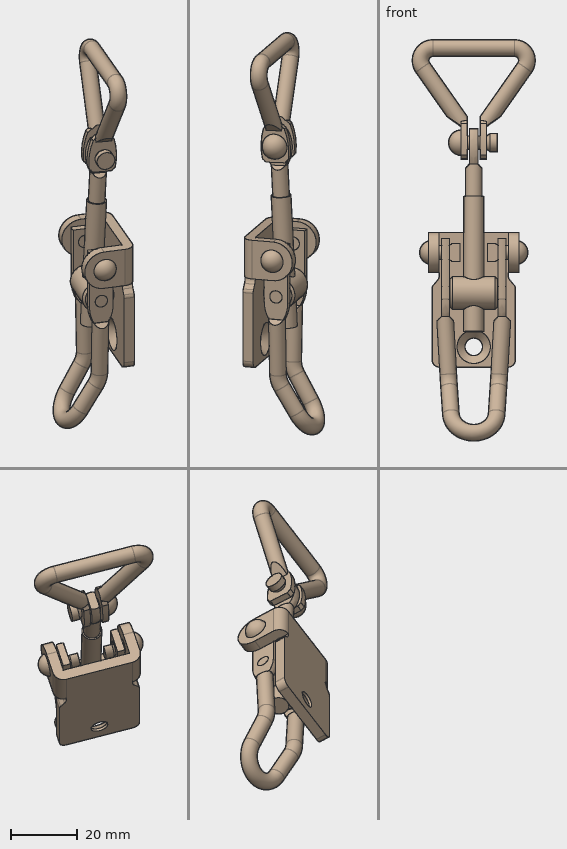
import cadquery as cq
import math


sheet = 3.3
wall_y = 9.5
ear_outer_x = 13.6
ear_radius = 6.0
ear_center_y = -0.4
plate_half_width = 12.5
plate_bottom_z = -34.5
plate_corner_radius = 2.3
neck_bottom_z = -7.7
shoulder_z = -10.2
neck_round_radius = 2.4
shoulder_round_radius = 1.6
screw_z = -28.3
screw_diameter = 5.2
screw_sink_diameter = 10.0

wire_radius = 2.5

arm_inner_x = 7.4
arm_thickness = 2.3
arm_radius = 3.9
arm_top_z = 4.2
arm_taper_z = -14.0
arm_bottom_z = -19.2
bend_start_z = -36.5
bend_radius = 8.2
bend_angle = 30.5
loop_radius = 6.9
loop_bottom_z = -56.6
leg_lean = 3.3

barrel_z = -12.2
barrel_radius = 5.0
barrel_half_length = 7.1
barrel_chamfer = 0.7
trunnion_radius = 1.9

rod_lean = 2.8
rod_bottom = -11.6
rod_step = 29.0
rod_radius = 3.0
stem_radius = 2.5
eye_half_thickness = 1.3
eye_widest_radius = 4.1
eye_top_radius = 2.9
eye_widest = 44.4
eye_neck = 38.7
pin_height = 45.2
eye_top = 49.3
hook_top = 76.2
hook_width = 37.0
hook_corner_radius = 3.7
hook_leg_angle = 35.0
tab_inner_x = 1.9
tab_thickness = 1.9
tab_half_width = 4.3
tab_widest = -0.7
tab_side_radius = 19.3
tab_top = 6.6
tab_bottom = -5.0
tab_corner = 1.1
leg_joint_drop = 1.7

rivet_radius = 2.0
side_dome_radius = 3.5
side_dome_height = 2.7
side_head_radius = 2.7
side_head_end_x = 4.1
side_head_flare = 0.7
hook_dome_radius = 3.9
hook_dome_height = 3.7
hook_head_radius = 2.8
hook_head_length = 3.3
hook_head_flare = 1.1

ear_inner_x = ear_outer_x - sheet
arm_outer_x = arm_inner_x + arm_thickness
arm_center_x = arm_inner_x + arm_thickness / 2
tab_outer_x = tab_inner_x + tab_thickness
hook_bar_half_length = hook_width / 2 - wire_radius - hook_corner_radius


def x_cylinder(radius, x_start, x_end, y, z):
    """Cylinder along X between two X positions."""
    return cq.Workplane("YZ", origin=(x_start, y, z)).circle(radius).extrude(x_end - x_start)


def mirrored(half):
    """A shape joined with its mirror image across X = 0."""
    return half.union(half.mirror("YZ"))


def rivet(dome_x, dome_radius, dome_height, end_x, flare_x, flare, head_radius):
    """Rivet along X at Y = Z = 0: a dome towards -X, a shank and a flared head towards +X."""
    outline = (
        cq.Workplane("XY")
        .moveTo(dome_x - dome_height, 0)
        .threePointArc(dome_arc_middle(dome_x, dome_radius, dome_height), (dome_x, dome_radius))
        .lineTo(dome_x, rivet_radius)
        .lineTo(flare_x, rivet_radius)
        .lineTo(flare_x + flare, head_radius)
        .lineTo(end_x, head_radius)
        .lineTo(end_x, 0)
        .close()
    )
    return outline.revolve(360, (0, 0, 0), (1, 0, 0))


def dome_arc_middle(base_x, radius, height):
    """Point halfway along the arc of a dome that bulges towards -X."""
    sphere = (radius**2 + height**2) / (2 * height)
    half_angle = math.asin(radius / sphere) / 2
    return (base_x - height + sphere * (1 - math.cos(half_angle)), sphere * math.sin(half_angle))


def shoulders(x, radius, half_thickness, z_tip):
    """Two 45 degree wedges that taper a round wire up to a flat of the given half thickness."""
    drop = 2 * radius
    wedge = (
        cq.Workplane("XZ", origin=(x, 0, 0))
        .moveTo(half_thickness, z_tip)
        .lineTo(half_thickness + drop, z_tip - drop)
        .lineTo(half_thickness + drop, z_tip + drop)
        .lineTo(half_thickness, z_tip + drop)
        .close()
        .extrude(2 * radius, both=True)
    )
    return wedge.union(wedge.rotate((x, 0, 0), (x, 0, 1), 180))


def flattened(outline, x, half_thickness):
    """A half outline turned about a vertical axis at X = x and cut to a flat of the given half thickness."""
    turned = outline.close().revolve(360, (0, 0, 0), (0, 1, 0)).translate((x, 0, 0))
    box = turned.val().BoundingBox()
    slab = cq.Workplane("XY").box(2 * half_thickness, box.ylen, box.zlen).translate(box.center)
    return turned.intersect(slab)


def near_height(z):
    """Selector for the short plate edges that lie at one height."""
    margin = 0.1
    return cq.selectors.BoxSelector((-ear_outer_x, 0, z - margin), (ear_outer_x, wall_y, z + margin))


def make_bracket():
    channel_depth = wall_y - ear_center_y
    channel = (
        cq.Workplane("XY", origin=(0, wall_y - channel_depth / 2, 0))
        .rect(2 * ear_outer_x, channel_depth)
        .extrude(ear_radius, both=True)
        .edges("|Z and >Y")
        .fillet(sheet)
    )
    ears = x_cylinder(ear_radius, -ear_outer_x, ear_outer_x, ear_center_y, 0)
    front_y = ear_center_y - ear_radius
    inner_y = wall_y - sheet
    slot = cq.Workplane("XY").box(2 * ear_inner_x, inner_y - front_y, 2 * ear_radius)
    slot = slot.translate((0, (inner_y + front_y) / 2, 0))

    right_side = [
        (ear_inner_x, 0),
        (ear_inner_x, neck_bottom_z),
        (plate_half_width, shoulder_z),
        (plate_half_width, plate_bottom_z),
    ]
    left_side = [(-x, z) for x, z in reversed(right_side)]
    plate = cq.Workplane("XZ", origin=(0, wall_y, 0)).polyline(right_side + left_side).close().extrude(sheet)
    plate = plate.edges("|Y").edges("<Z").fillet(plate_corner_radius)
    plate = plate.edges(near_height(neck_bottom_z)).fillet(neck_round_radius)
    plate = plate.edges(near_height(shoulder_z)).fillet(shoulder_round_radius)

    bracket = channel.union(ears).cut(slot).union(plate)
    bracket = (
        bracket.copyWorkplane(cq.Workplane("XZ", origin=(0, inner_y, screw_z)))
        .cskHole(screw_diameter, screw_sink_diameter, 90)
    )
    side_rivet = rivet(
        -ear_outer_x, side_dome_radius, side_dome_height,
        -side_head_end_x, -arm_inner_x, side_head_flare, side_head_radius,
    )
    head_front = cq.Workplane("XY").box(2 * arm_inner_x, 2 * side_head_radius, 2 * side_head_radius)
    side_rivet = side_rivet.cut(head_front.translate((0, -side_head_radius, 0)))
    return bracket.union(mirrored(side_rivet))


def make_lever_wire():
    """Bent U of round wire: two straight legs, a bend towards -Y and a round loop."""
    lean = math.radians(leg_lean)
    bend = math.radians(bend_angle)

    down = cq.Vector(0, -math.sin(bend), -math.cos(bend))
    right = cq.Vector(1, 0, 0)
    upper = cq.Vector(-math.sin(lean), 0, -math.cos(lean))
    lower = down * math.cos(lean) - right * math.sin(lean)
    turn = bend_radius * math.tan(upper.getAngle(lower) / 2)

    corner_z = bend_start_z - turn * math.cos(lean)
    loop_depth = (corner_z - loop_bottom_z - wire_radius) / math.cos(bend) - loop_radius
    loop_center = cq.Vector(0, 0, corner_z) + down * loop_depth
    loop_start = loop_center + right * (loop_radius * math.cos(lean)) + down * (loop_radius * math.sin(lean))
    corner = loop_start - lower * ((loop_depth + loop_radius * math.sin(lean)) / math.cos(lean))
    bend_end = corner + lower * turn
    bend_start = corner - upper * turn
    leg_top = bend_start - upper * ((arm_bottom_z - bend_start.z) / math.cos(lean))

    def flip(point):
        return cq.Vector(-point.x, point.y, point.z)

    path = cq.Wire.assembleEdges([
        cq.Edge.makeLine(leg_top, bend_start),
        cq.Edge.makeTangentArc(bend_start, upper, bend_end),
        cq.Edge.makeLine(bend_end, loop_start),
        cq.Edge.makeThreePointArc(loop_start, loop_center + down * loop_radius, flip(loop_start)),
        cq.Edge.makeLine(flip(loop_start), flip(bend_end)),
        cq.Edge.makeTangentArc(flip(bend_end), flip(lower) * -1, flip(bend_start)),
        cq.Edge.makeLine(flip(bend_start), flip(leg_top)),
    ])
    return cq.Workplane(cq.Plane(leg_top, right, upper)).circle(wire_radius).sweep(path)


def make_arm():
    """Flat arm on the +X side with holes for the pivot rivet and the barrel trunnion."""
    drop = arm_taper_z - arm_bottom_z
    inset = arm_radius - wire_radius
    taper_radius = (inset**2 + drop**2) / (2 * inset)
    half_angle = math.asin(drop / taper_radius) / 2
    taper_middle = (
        arm_radius - taper_radius * (1 - math.cos(half_angle)),
        arm_taper_z - taper_radius * math.sin(half_angle),
    )
    outline = (
        cq.Workplane("XZ")
        .moveTo(0, arm_top_z)
        .lineTo(arm_radius, arm_top_z)
        .lineTo(arm_radius, arm_taper_z)
        .threePointArc(taper_middle, (wire_radius, arm_bottom_z))
        .lineTo(0, arm_bottom_z)
    )
    arm = flattened(outline, arm_center_x, arm_thickness / 2)
    pivot_hole = x_cylinder(rivet_radius, arm_inner_x, arm_outer_x, 0, 0)
    trunnion_hole = x_cylinder(trunnion_radius, arm_inner_x, arm_outer_x, 0, barrel_z)
    return arm.cut(pivot_hole).cut(trunnion_hole)


def make_lever():
    wire = make_lever_wire()
    wire_end_wedges = shoulders(arm_center_x, wire_radius, arm_thickness / 2, arm_bottom_z)
    return wire.cut(mirrored(wire_end_wedges)).union(mirrored(make_arm()))


def leaned(shape):
    """Move a shape from the rod axis frame to its leaning place in the latch."""
    return shape.rotate((0, 0, 0), (1, 0, 0), -rod_lean).translate((0, 0, barrel_z))


def make_barrel():
    barrel = x_cylinder(barrel_radius, -barrel_half_length, barrel_half_length, 0, barrel_z)
    barrel = barrel.faces("<X or >X").chamfer(barrel_chamfer)
    trunnions = x_cylinder(trunnion_radius, -arm_outer_x, arm_outer_x, 0, barrel_z)
    rod_hole = cq.Workplane("XY").circle(rod_radius).extrude(2 * barrel_radius, both=True)
    return barrel.union(trunnions).cut(leaned(rod_hole))


def make_rod():
    shaft = cq.Workplane("XY", origin=(0, 0, rod_bottom)).circle(rod_radius).extrude(rod_step - rod_bottom)
    stem = cq.Workplane("XY", origin=(0, 0, rod_step)).circle(stem_radius).extrude(eye_neck - rod_step)
    stem = stem.cut(shoulders(0, stem_radius, eye_half_thickness, eye_neck))
    outline = (
        cq.Workplane("XZ")
        .moveTo(0, eye_neck)
        .lineTo(stem_radius, eye_neck)
        .threePointArc((eye_widest_radius, eye_widest), (eye_top_radius, eye_top))
        .lineTo(0, eye_top)
    )
    eye = flattened(outline, 0, eye_half_thickness)
    pin_hole = x_cylinder(rivet_radius, -eye_half_thickness, eye_half_thickness, 0, pin_height)
    return leaned(shaft.union(stem).union(eye.cut(pin_hole)))


def make_hook_wire():
    """Triangle of round wire whose legs end on the tabs."""
    angle = math.radians(hook_leg_angle)
    bar_z = hook_top - wire_radius
    corner_z = bar_z - hook_corner_radius
    middle_angle = (math.pi / 2 - angle) / 2
    leg_start_x = hook_bar_half_length + hook_corner_radius * math.cos(angle)
    leg_start_z = corner_z - hook_corner_radius * math.sin(angle)
    leg_end_z = leg_start_z - leg_start_x / math.tan(angle)
    path = (
        cq.Workplane("XZ")
        .moveTo(0, bar_z)
        .lineTo(hook_bar_half_length, bar_z)
        .threePointArc(
            (
                hook_bar_half_length + hook_corner_radius * math.cos(middle_angle),
                corner_z + hook_corner_radius * math.sin(middle_angle),
            ),
            (leg_start_x, leg_start_z),
        )
        .lineTo(0, leg_end_z)
    )
    half = cq.Workplane("YZ", origin=(0, 0, bar_z)).circle(wire_radius).sweep(path)

    tab_joint_z = pin_height + tab_top - leg_joint_drop
    reach = 2 * hook_bar_half_length
    under_leg = (
        cq.Workplane("XZ")
        .moveTo(0, 0)
        .lineTo(0, tab_joint_z)
        .lineTo(tab_outer_x, tab_joint_z)
        .lineTo(tab_outer_x + reach, tab_joint_z + reach * math.tan(angle))
        .lineTo(tab_outer_x + reach, 0)
        .close()
        .extrude(2 * wire_radius, both=True)
    )
    between_tabs = (
        cq.Workplane("XY", origin=(0, 0, leg_end_z))
        .rect(2 * tab_inner_x, 4 * wire_radius)
        .extrude(corner_z - leg_end_z)
    )
    return mirrored(half.cut(under_leg)).cut(between_tabs)


def tab_side(height):
    """Half width of the bulging tab sides at a height above the rivet axis."""
    return tab_half_width - tab_side_radius + math.sqrt(tab_side_radius**2 - (height - tab_widest)**2)


def make_tab():
    """Flat tab on the +X side that carries the hook rivet."""
    upper = tab_top - tab_corner
    lower = tab_bottom + tab_corner
    upper_half_width = tab_side(upper)
    lower_half_width = tab_side(lower)
    return (
        cq.Workplane("YZ", origin=(tab_inner_x, 0, pin_height))
        .moveTo(-upper_half_width + tab_corner, tab_top)
        .lineTo(upper_half_width - tab_corner, tab_top)
        .lineTo(upper_half_width, upper)
        .threePointArc((tab_half_width, tab_widest), (lower_half_width, lower))
        .lineTo(lower_half_width - tab_corner, tab_bottom)
        .lineTo(-lower_half_width + tab_corner, tab_bottom)
        .lineTo(-lower_half_width, lower)
        .threePointArc((-tab_half_width, tab_widest), (-upper_half_width, upper))
        .close()
        .extrude(tab_thickness)
    )


def make_hook():
    hook_rivet = rivet(
        -tab_outer_x, hook_dome_radius, hook_dome_height,
        tab_outer_x + hook_head_length, tab_outer_x, hook_head_flare, hook_head_radius,
    )
    hook_rivet = hook_rivet.translate((0, 0, pin_height))
    return leaned(make_hook_wire().union(mirrored(make_tab())).union(hook_rivet))


bracket = make_bracket()
lever = make_lever()
barrel = make_barrel()
rod = make_rod()
hook = make_hook()

result = cq.Compound.makeCompound([
    bracket.val(),
    lever.val(),
    barrel.val(),
    rod.val(),
    hook.val(),
])